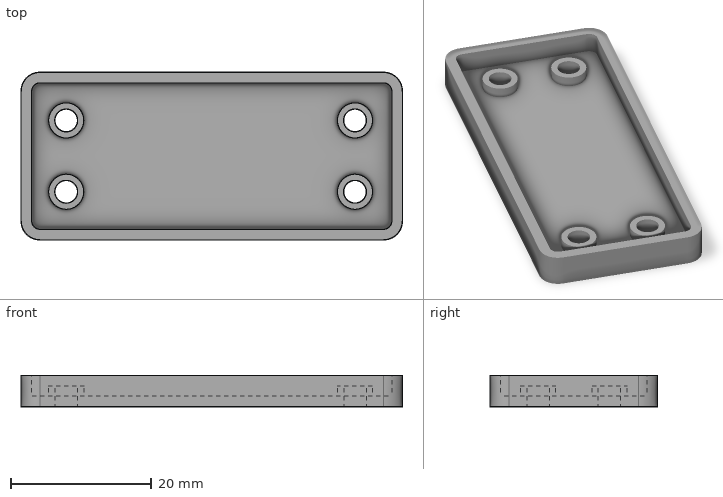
import cadquery as cq

length = 54.5
width = 24.0
height = 4.5
corner_radius = 2.7

wall = 1.5
floor_thickness = 1.5
inner_corner_radius = corner_radius - wall

boss_spacing_x = 41.25
boss_spacing_y = 10.2
boss_shift_x = -0.15
boss_diameter = 5.0
boss_height = 1.45
hole_diameter = 3.2


def rounded_block(size_x, size_y, size_z, radius):
    """Block centred in X and Y, resting on Z = 0, with rounded upright edges."""
    block = cq.Workplane("XY").box(size_x, size_y, size_z, centered=(True, True, False))
    return block.edges("|Z").fillet(radius)


def cylinders_at_bosses(diameter, cylinder_height):
    """Upright cylinders from Z = 0 at the four boss positions."""
    return (
        cq.Workplane("XY")
        .center(boss_shift_x, 0)
        .rarray(boss_spacing_x, boss_spacing_y, 2, 2)
        .circle(diameter / 2)
        .extrude(cylinder_height)
    )


tray = rounded_block(length, width, height, corner_radius)
cavity = rounded_block(
    length - 2 * wall, width - 2 * wall, height - floor_thickness, inner_corner_radius
).translate((0, 0, floor_thickness))

boss_top = floor_thickness + boss_height
bosses = cylinders_at_bosses(boss_diameter, boss_top)
holes = cylinders_at_bosses(hole_diameter, boss_top)

result = tray.cut(cavity).union(bosses).cut(holes)